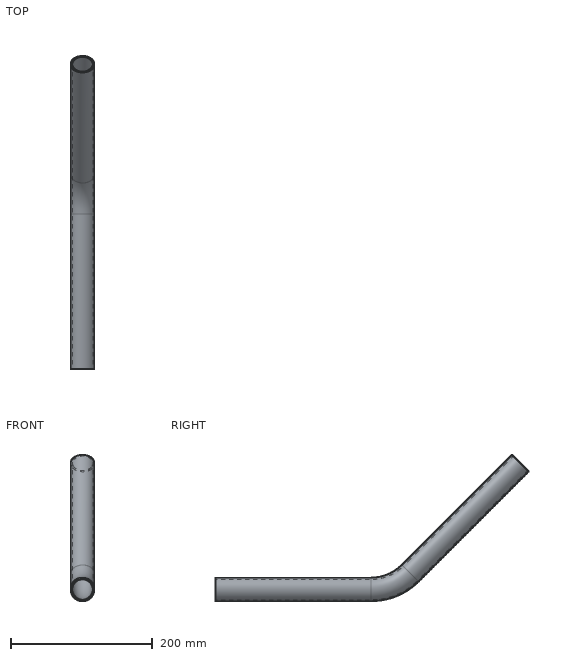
import cadquery as cq
import math

outer_diameter = 33.5
inner_diameter = 28.5
overall_length = 441.5
bend_radius = 78.0
bend_angle = 45.0

bend = math.radians(bend_angle)

outer_radius = outer_diameter / 2
leg_length = (overall_length - (bend_radius + outer_radius) * math.sin(bend)) / (1 + math.cos(bend))


def bend_point(angle):
    """Point (y, z) on the bend centreline after turning through the given angle."""
    y = leg_length + bend_radius * math.sin(angle)
    z = bend_radius * (1 - math.cos(angle))
    return (y, z)


bend_end = bend_point(bend)
rear_end = (
    bend_end[0] + leg_length * math.cos(bend),
    bend_end[1] + leg_length * math.sin(bend),
)

centreline = (
    cq.Workplane("YZ")
    .moveTo(0, 0)
    .lineTo(leg_length, 0)
    .threePointArc(bend_point(bend / 2), bend_end)
    .lineTo(*rear_end)
)

result = (
    cq.Workplane("XZ")
    .circle(outer_radius)
    .circle(inner_diameter / 2)
    .sweep(centreline)
)